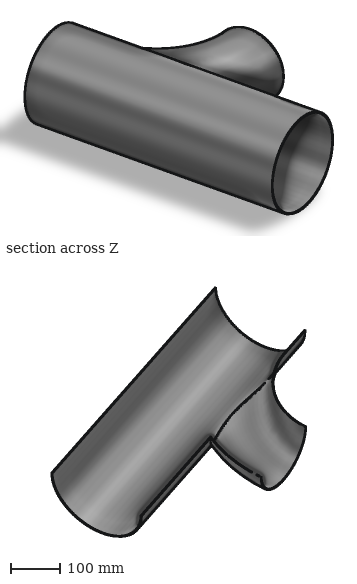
import cadquery as cq

pipe_length = 610.0
pipe_od = 219.0
pipe_id = 214.0

branch_od = 168.5
branch_wall = (pipe_od - pipe_id) / 2
branch_id = branch_od - 2 * branch_wall
bend_radius = 229.5
bend_angle = 90
branch_x = pipe_length / 2
overall_depth = 364.0
branch_end_y = overall_depth - pipe_od / 2


def pipe_cylinder(diameter):
    """Solid cylinder of the main pipe's length along X."""
    return cq.Workplane("YZ").circle(diameter / 2).extrude(pipe_length)


def branch_bend(diameter):
    """Solid bend that turns from the end face at +Y, down into the main pipe, towards -X."""
    return (
        cq.Workplane("XZ", origin=(branch_x, branch_end_y, 0))
        .circle(diameter / 2)
        .revolve(bend_angle, (-bend_radius, 6, 0), (-bend_radius, -6, 0))
    )


outside = pipe_cylinder(pipe_od).union(branch_bend(branch_od))
result = outside.cut(pipe_cylinder(pipe_id)).cut(branch_bend(branch_id))